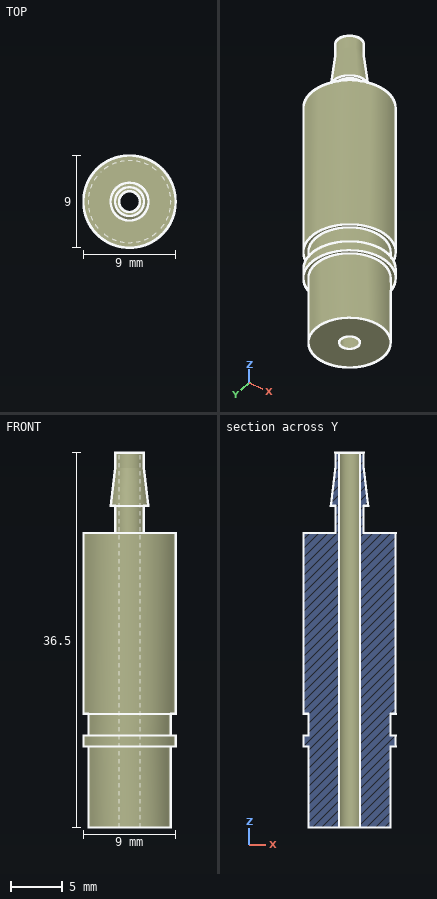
import cadquery as cq

total_length = 36.5
body_diameter = 9.0
spigot_diameter = 8.03
stem_diameter = 2.8
barb_diameter = 3.7
bore_diameter = 2.0

collar_bottom = 7.9
collar_top = 8.98
body_bottom = 11.05
body_top = 28.7
barb_bottom = 31.3
barb_top = 35.0


def cylinder(diameter, bottom, top):
    """Solid cylinder on the Z axis between two heights."""
    return cq.Workplane("XY").workplane(offset=bottom).circle(diameter / 2).extrude(top - bottom)


def hose_barb():
    """Cone that narrows upward from a sharp shoulder to the stem."""
    return (
        cq.Workplane("XZ")
        .moveTo(0, barb_bottom)
        .lineTo(barb_diameter / 2, barb_bottom)
        .lineTo(stem_diameter / 2, barb_top)
        .lineTo(0, barb_top)
        .close()
        .revolve(360, (0, 0, 0), (0, 1, 0))
    )


spigot = cylinder(spigot_diameter, 0, body_bottom)
collar = cylinder(body_diameter, collar_bottom, collar_top)

body = cylinder(body_diameter, body_bottom, body_top)
stem = cylinder(stem_diameter, body_top, total_length)

bore = cylinder(bore_diameter, 0, total_length)

result = spigot.union(collar).union(body).union(stem).union(hose_barb()).cut(bore)